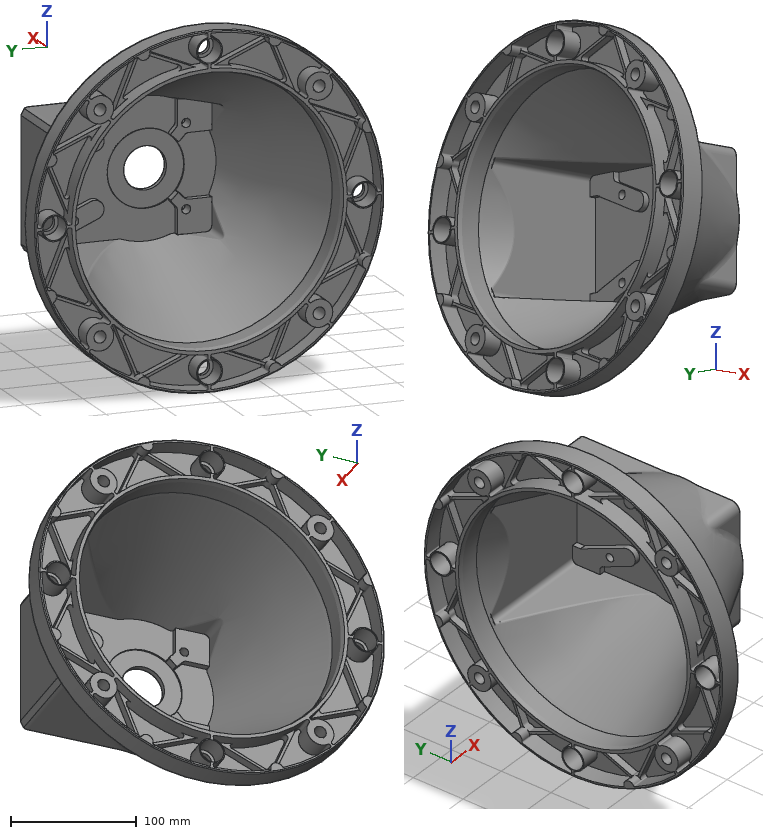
import cadquery as cq
import math

total_length = 143.0

flange_radius = 150
flange_thickness = 21.5
flange_chamfer = 1.0
bore_radius = 230.0 / 2
bore_lead_in = 1.2
bore_lead_in_depth = 4.2
bore_depth = 22.0

pocket_inner_radius = 118.2
pocket_outer_radius = 147.5
pocket_depth = 17.5
rib_top = 10.0
rib_thickness = 2.5
rib_angle = 45
rib_length = 54
node_radius = 5.5
pocket_corner_radius = 1.2
rib_corner_radius = 2.5
fin_overlap = 3
boss_count = 8
boss_step = 360 / boss_count
bolt_circle_radius = 133.0
plain_boss_diameter = 23.5
plain_hole_diameter = 10.2
counterbored_boss_diameter = 22.2
counterbore_diameter = 20.0
counterbored_hole_diameter = 14.0

cone_angle = 25
cone_base_radius = 235.0 / 2
cone_base_end = 22.5
cavity_cone_radius = 112.5
cavity_cone_start = 24.5

box_wall = 3.5
cavity_y_max = 101.0
cavity_y_min = -54.3
cavity_half_height = 56.0
cavity_corner_radius = 4.8
cavity_blend_radius = 2.5
box_near_corner_radius = 9
box_far_corner_radius = 6.5
blend_radius = 9

floor_x = 136.8
pad_height = 5.7
shaft_hole_diameter = 36.5
hub_diameter = 66
hub_recess = 1.5
screw_hole_diameter = 7.5
screw_y_positions = (63.5, -32.5)
screw_z = 35.7

far_pad_y = 73.5
far_pad_z = 39.3
arm_tip = (46.2, 28.2)
arm_radius = 8.0
arm_angle = 23
arm_root_radius = 4.5

near_pad_y = -25.0
near_pad_z = 27.5
neck_angle = 133
neck_width = 10.0
neck_start = 32.0
neck_end = 48
neck_root_radius = 4.5
neck_tip_radius = 2.5

cone_slope = math.tan(math.radians(cone_angle))


def plane_at(x):
    """Sketch plane across the axis: local x is Y, local y is Z, extrusion runs along +X."""
    return cq.Workplane("YZ", origin=(x, 0, 0))


def disc(x, radius, length):
    return plane_at(x).circle(radius).extrude(length)


def block(x, length, y_min, y_max, half_height):
    return (
        plane_at(x)
        .center((y_min + y_max) / 2, 0)
        .rect(y_max - y_min, 2 * half_height)
        .extrude(length)
    )


def turned(profile):
    """Solid of revolution about the X axis from (x, radius) points."""
    return cq.Workplane("XY").polyline(profile).close().revolve(360, (0, 0, 0), (1, 0, 0))


def at_angle(body, angle):
    return body.rotate((0, 0, 0), (1, 0, 0), angle)


def axis_distance(edge):
    return math.hypot(edge.Center().y, edge.Center().z)


def polar_bar(x, length, start_radius, end_radius, width):
    """Bar lying along +Y between two radii."""
    return block(x, length, start_radius, end_radius, width / 2)


def make_outer_shell():
    """Solid cone with the box blended into it, closed by the end wall."""
    cone_end_radius = cone_base_radius - cone_slope * (total_length - cone_base_end)
    cone = turned([
        (0, 0),
        (0, cone_base_radius),
        (cone_base_end, cone_base_radius),
        (total_length, cone_end_radius),
        (total_length, 0),
    ])
    box = block(
        0,
        total_length,
        cavity_y_min - box_wall,
        cavity_y_max + box_wall,
        cavity_half_height + box_wall,
    )
    box = box.edges("|X and <Y").fillet(box_near_corner_radius)
    box = box.edges("|X and >Y").fillet(box_far_corner_radius)
    box = box.intersect(disc(0, cone_base_radius, total_length))
    shell = cone.union(box)
    junction = shell.edges("%HYPERBOLA").add(shell.edges("%BSPLINE"))
    return junction.fillet(blend_radius)


def make_boss(diameter):
    """Boss on the bolt circle with a radial fin joining it to both pocket walls."""
    boss = plane_at(0).center(bolt_circle_radius, 0).circle(diameter / 2).extrude(pocket_depth)
    fin = polar_bar(
        0,
        pocket_depth,
        pocket_inner_radius - fin_overlap,
        pocket_outer_radius + fin_overlap,
        rib_thickness,
    )
    return boss.union(fin)


def make_flange():
    """Disc with a ribbed annular pocket and a ring of bosses."""
    flange = disc(0, flange_radius, flange_thickness).edges().chamfer(flange_chamfer)
    pocket = disc(0, pocket_outer_radius, pocket_depth).cut(disc(0, pocket_inner_radius, pocket_depth))
    node = plane_at(0).center(pocket_outer_radius, 0).circle(node_radius).extrude(pocket_depth)
    for index in range(boss_count):
        diameter = counterbored_boss_diameter if index % 2 == 0 else plain_boss_diameter
        pocket = pocket.cut(at_angle(make_boss(diameter), index * boss_step))
        pocket = pocket.cut(at_angle(node, (index + 0.5) * boss_step))
    pocket = pocket.edges("|X").fillet(pocket_corner_radius)

    for index in range(boss_count):
        for side in (-1, 1):
            rib = polar_bar(rib_top, pocket_depth - rib_top, -rib_length, 0, rib_thickness)
            rib = at_angle(rib, side * rib_angle).translate((0, pocket_outer_radius, 0))
            pocket = pocket.cut(at_angle(rib, (index + 0.5) * boss_step))
    pocket = pocket.edges("|X").filter(lambda edge: edge.Length() < pocket_depth - rib_top / 2)
    pocket = pocket.fillet(rib_corner_radius)
    return flange.cut(pocket)


def drill_flange(body):
    """Counterbored and plain bolt holes, alternating around the bolt circle."""
    for index in range(boss_count):
        angle = math.radians(index * boss_step)
        center = (bolt_circle_radius * math.cos(angle), bolt_circle_radius * math.sin(angle))
        diameter = plain_hole_diameter
        if index % 2 == 0:
            diameter = counterbored_hole_diameter
            counterbore = plane_at(0).center(*center).circle(counterbore_diameter / 2).extrude(pocket_depth)
            body = body.cut(counterbore)
        body = body.cut(plane_at(0).center(*center).circle(diameter / 2).extrude(flange_thickness))
    return body


def make_far_pad():
    """Corner block with a round-tipped arm slanting towards the middle of the floor."""
    slope = math.radians(arm_angle)
    along = (math.cos(slope), math.sin(slope))
    tip_y, tip_z = arm_tip
    upper = (tip_y - arm_radius * along[1], tip_z + arm_radius * along[0])
    lower = (tip_y + arm_radius * along[1], tip_z - arm_radius * along[0])
    tip = (tip_y - arm_radius * along[0], tip_z - arm_radius * along[1])
    upper_end = (far_pad_y, upper[1] + (far_pad_y - upper[0]) * math.tan(slope))
    lower_end = (lower[0] + (far_pad_z - lower[1]) / math.tan(slope), far_pad_z)
    return (
        plane_at(floor_x - pad_height)
        .moveTo(*lower)
        .threePointArc(tip, upper)
        .lineTo(*upper_end)
        .lineTo(far_pad_y, cavity_half_height)
        .lineTo(cavity_y_max, cavity_half_height)
        .lineTo(cavity_y_max, far_pad_z)
        .lineTo(*lower_end)
        .close()
        .extrude(pad_height)
        .edges(cq.selectors.NearestToPointSelector((floor_x - pad_height / 2, *upper_end)))
        .fillet(arm_root_radius)
    )


def make_near_pad():
    """Corner block with a straight neck running in to the hub."""
    pad = (
        plane_at(floor_x - pad_height)
        .moveTo(near_pad_y, near_pad_z)
        .lineTo(near_pad_y, cavity_half_height)
        .lineTo(cavity_y_min, cavity_half_height)
        .lineTo(cavity_y_min, near_pad_z)
        .close()
        .extrude(pad_height)
    )
    neck = polar_bar(floor_x - pad_height, pad_height, neck_start, neck_end, neck_width)
    neck = neck.edges("|X and <Y").fillet(neck_tip_radius)
    pad = pad.union(at_angle(neck, neck_angle))
    roots = pad.edges("|X").filter(lambda edge: neck_start + neck_width / 2 < axis_distance(edge) < neck_end)
    return roots.fillet(neck_root_radius)


def make_cavity():
    """Hollow of the housing: flange bore, cone and box, less the pads left on the floor."""
    cavity_end_radius = cavity_cone_radius - cone_slope * (floor_x - cavity_cone_start)
    cone_cavity = turned([
        (cavity_cone_start, 0),
        (cavity_cone_start, cavity_cone_radius),
        (floor_x, cavity_end_radius),
        (floor_x, 0),
    ])
    box_cavity = block(
        cavity_cone_start,
        floor_x - cavity_cone_start,
        cavity_y_min,
        cavity_y_max,
        cavity_half_height,
    )
    box_cavity = box_cavity.edges("|X").fillet(cavity_corner_radius)
    cavity = cone_cavity.union(box_cavity)
    cavity = cavity.edges("%HYPERBOLA").add(cavity.edges("%BSPLINE")).fillet(cavity_blend_radius)
    for pad in (make_far_pad(), make_near_pad()):
        cavity = cavity.cut(pad).cut(pad.mirror("XY"))

    bore = turned([
        (0, 0),
        (0, bore_radius),
        (bore_lead_in_depth, bore_radius - bore_lead_in),
        (bore_depth, bore_radius - bore_lead_in),
        (cavity_cone_start, cavity_cone_radius),
        (cavity_cone_start, 0),
    ])
    return cavity.union(bore)


def machine_end_wall(body):
    """Recess around the shaft hole, shaft hole and screw holes in the pads."""
    recess_start = floor_x - pad_height
    through = total_length - recess_start
    screws = (
        plane_at(recess_start)
        .pushPoints([(y, side * screw_z) for y in screw_y_positions for side in (-1, 1)])
        .circle(screw_hole_diameter / 2)
        .extrude(through)
    )
    body = body.cut(disc(recess_start, hub_diameter / 2, pad_height + hub_recess))
    return body.cut(disc(recess_start, shaft_hole_diameter / 2, through)).cut(screws)


result = make_outer_shell().union(make_flange()).cut(make_cavity())
result = machine_end_wall(drill_flange(result))